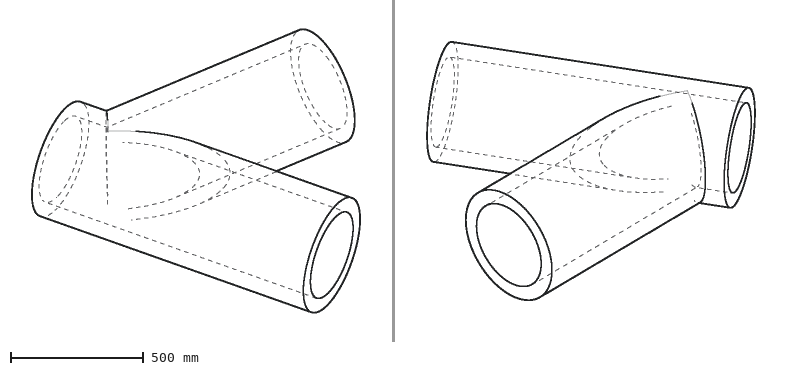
import cadquery as cq
import math

outer_diameter = 458.0
bore_diameter = 343.0
run_length = 1156.0
overall_width = 1168.0
junction_from_left_end = 204.0
branch_angle = 60.0

angle = math.radians(branch_angle)
outer_radius = outer_diameter / 2
branch_end_y = overall_width - outer_radius - outer_radius * math.cos(angle)
branch_length = branch_end_y / math.sin(angle)

run_start = cq.Vector(-junction_from_left_end, 0, 0)
run_direction = cq.Vector(1, 0, 0)
junction = cq.Vector(0, 0, 0)
branch_direction = cq.Vector(math.cos(angle), math.sin(angle), 0)


def run_and_branch(diameter):
    """Joined solid cylinders of one diameter along both pipe axes."""
    radius = diameter / 2
    run = cq.Solid.makeCylinder(radius, run_length, run_start, run_direction)
    branch = cq.Solid.makeCylinder(radius, branch_length, junction, branch_direction)
    return cq.Workplane(run).union(cq.Workplane(branch))


result = run_and_branch(outer_diameter).cut(run_and_branch(bore_diameter))